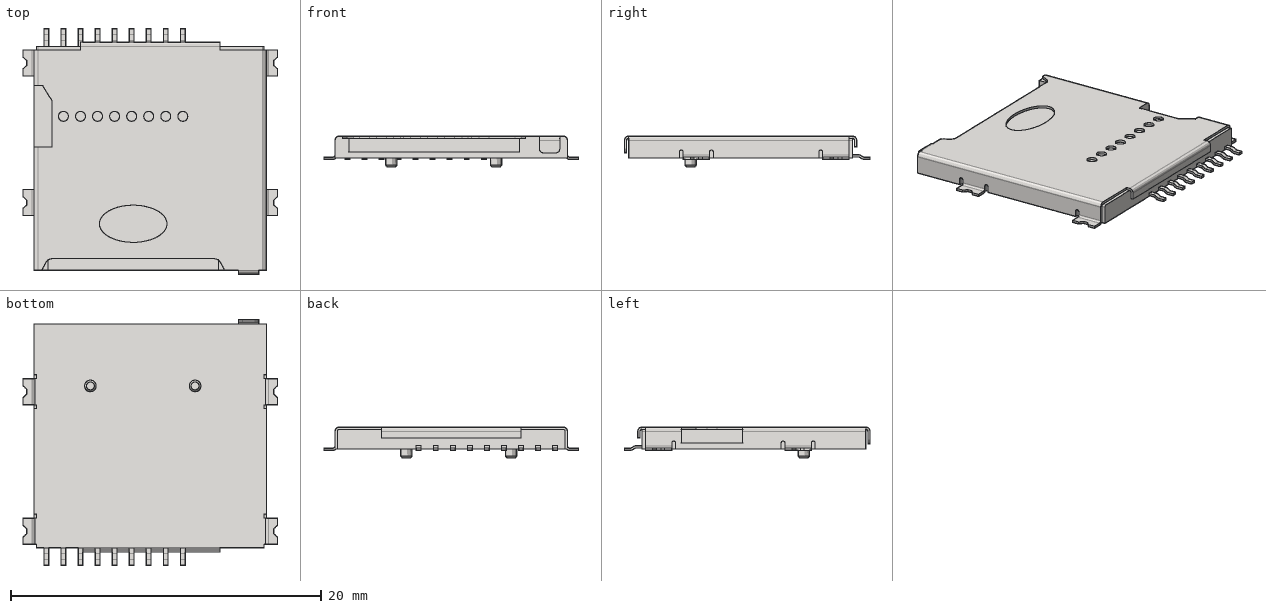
import cadquery as cq
import math


shell_width = 15.0
shell_length = 14.22
shell_top = 1.5
sheet = 0.15
bend_inner = 0.12
bend_outer = bend_inner + sheet
turn = math.sqrt(0.5)

body_bottom = 0.08
body_width = shell_width - 2 * sheet
body_length = 14.45
body_top = shell_top - sheet

slot_floor = 0.46
slot_width = 11.0
slot_center_x = -1.1
slot_left = slot_center_x - slot_width / 2
slot_depth = 13.5

notch_mouth_width = 11.8
notch_back_width = slot_width
notch_depth = 0.75
notch_corner_radius = 0.5

window_front = 7.96
window_back = 11.91
window_chamfer_front = 10.96
window_inner_x = -6.35
window_chamfer_x = -6.95

contact_pitch = 1.1
contact_count = 9
first_contact_x = -6.7
contact_width = 0.32
contact_sheet = 0.15
contact_tip = 15.58
contact_root = 14.0
contact_bend_tip = 15.2
contact_bend_root = 14.82
contact_rise = 0.15
hole_diameter = 0.64
hole_y = 9.93

oval_center_y = 3.0
oval_half_length = 2.18
oval_half_width = 1.2

tab_span = 16.44
tab_width = 1.7
tab_back_y = shell_length - tab_width / 2
tab_pitch = 9.0
tab_notch_mouth = 0.78
tab_notch_bottom = 0.3
tab_notch_depth = 0.25
relief_width = 0.25
relief_top = 0.6

back_tongue_width = 9.0
back_tongue_y = 14.72
back_tongue_bottom = 0.8
front_tongue_left = 5.69
front_tongue_right = 7.0
front_tongue_bottom = 0.42
front_tongue_corner = 0.25

peg_diameter = 0.75
peg_bottom = -0.5
peg_chamfer = 0.12
peg_y = 4.0
peg_xs = (-3.86, 2.89)


def block(x0, x1, y0, y1, z0, z1):
    return cq.Workplane("XY").box(x1 - x0, y1 - y0, z1 - z0, centered=False).translate((x0, y0, z0))


def make_body():
    half = body_width / 2
    body = block(-half, half, 0, body_length, body_bottom, body_top)
    body = body.edges("|Y and >Z").fillet(bend_inner)
    return body.cut(block(slot_left, slot_left + slot_width, 0, slot_depth, slot_floor, body_top))


def make_shell():
    half = shell_width / 2
    outer = block(-half, half, 0, shell_length, body_bottom, shell_top)
    outer = outer.edges("|Y and >Z").fillet(bend_outer)
    inner = block(-half + sheet, half - sheet, 0, shell_length, body_bottom, body_top)
    inner = inner.edges("|Y and >Z").fillet(bend_inner)
    return outer.cut(inner)


def front_notch():
    mouth = notch_mouth_width / 2
    back = notch_back_width / 2
    outline = [(-mouth, 0), (mouth, 0), (back, notch_depth), (-back, notch_depth)]
    notch = cq.Workplane("XY").polyline(outline).close().extrude(sheet)
    notch = notch.edges("|Z and >Y").fillet(notch_corner_radius)
    return notch.translate((slot_center_x, 0, body_top))


def shell_window():
    """Opening through the shell's left wall and roof, with one slanted corner in the roof."""
    outer_x = -shell_width / 2
    outline = [
        (outer_x, window_front),
        (window_inner_x, window_front),
        (window_inner_x, window_chamfer_front),
        (window_chamfer_x, window_back),
        (outer_x, window_back),
    ]
    window = cq.Workplane("XY").polyline(outline).close().extrude(shell_top - slot_floor)
    return window.translate((0, 0, slot_floor))


def body_window():
    """Opening through the left wall of the body into the card slot."""
    return block(-body_width / 2, slot_left, window_front, window_back, slot_floor, body_top)


def contact_holes():
    centers = [(first_contact_x + i * contact_pitch, hole_y) for i in range(1, contact_count)]
    roof_underside = cq.Workplane("XY", origin=(0, 0, body_top))
    return roof_underside.pushPoints(centers).circle(hole_diameter / 2).extrude(sheet)


def oval_opening():
    roof_underside = cq.Workplane("XY", origin=(slot_center_x, oval_center_y, body_top))
    return roof_underside.ellipse(oval_half_length, oval_half_width).extrude(sheet)


def make_tab(center_y):
    """Solder tab on the +X side, bent outwards from the bottom of the shell wall."""
    wall = shell_width / 2
    tip = tab_span / 2
    bend_x = wall + bend_inner
    profile = (
        cq.Workplane("XZ", origin=(0, center_y + tab_width / 2, 0))
        .moveTo(tip, 0)
        .lineTo(bend_x, 0)
        .threePointArc((bend_x - bend_outer * turn, bend_outer * (1 - turn)), (wall - sheet, bend_outer))
        .lineTo(wall, bend_outer)
        .threePointArc((bend_x - bend_inner * turn, bend_outer - bend_inner * turn), (bend_x, sheet))
        .lineTo(tip, sheet)
        .close()
    )
    tab = profile.extrude(tab_width)
    notch_outline = [
        (tip, center_y - tab_notch_mouth / 2),
        (tip - tab_notch_depth, center_y - tab_notch_bottom / 2),
        (tip - tab_notch_depth, center_y + tab_notch_bottom / 2),
        (tip, center_y + tab_notch_mouth / 2),
    ]
    return tab.cut(cq.Workplane("XY").polyline(notch_outline).close().extrude(sheet))


def relief_slot(center_y):
    """Round-topped slot through both side walls of the shell, beside a solder tab."""
    radius = relief_width / 2
    return (
        cq.Workplane("YZ", origin=(-shell_width / 2, 0, 0))
        .moveTo(center_y - radius, 0)
        .lineTo(center_y + radius, 0)
        .lineTo(center_y + radius, relief_top - radius)
        .threePointArc((center_y, relief_top), (center_y - radius, relief_top - radius))
        .close()
        .extrude(shell_width)
    )


def make_tongue(edge_y, reach, width, center_x, bottom):
    """Strip leaving the roof at edge_y and bent down; reach is the signed distance to its outer face."""
    out = math.copysign(1, reach)
    face = edge_y + reach
    bend_y = face - out * bend_outer
    bend_z = shell_top - bend_outer
    return (
        cq.Workplane("YZ", origin=(center_x - width / 2, 0, 0))
        .moveTo(edge_y - out * sheet, shell_top)
        .lineTo(bend_y, shell_top)
        .threePointArc((bend_y + out * bend_outer * turn, bend_z + bend_outer * turn), (face, bend_z))
        .lineTo(face, bottom)
        .lineTo(face - out * sheet, bottom)
        .lineTo(face - out * sheet, bend_z)
        .threePointArc((bend_y + out * bend_inner * turn, bend_z + bend_inner * turn), (bend_y, body_top))
        .lineTo(edge_y - out * sheet, body_top)
        .close()
        .extrude(width)
    )


def make_contact(x):
    """Contact tail: a flat strip stepped down to the seating plane by an S-bend."""
    mid_z = contact_sheet / 2
    inward = (-1, 0)
    path = (
        cq.Workplane("YZ", origin=(x, 0, 0))
        .moveTo(contact_tip, mid_z)
        .lineTo(contact_bend_tip, mid_z)
        .spline([(contact_bend_root, mid_z + contact_rise)], tangents=[inward, inward], includeCurrent=True)
        .lineTo(contact_root, mid_z + contact_rise)
    )
    section = cq.Workplane("XZ", origin=(x, contact_tip, mid_z)).rect(contact_width, contact_sheet)
    return section.sweep(path)


def make_peg(x):
    peg = cq.Workplane("XY", origin=(x, peg_y, peg_bottom)).circle(peg_diameter / 2)
    return peg.extrude(slot_floor - peg_bottom).faces("<Z").chamfer(peg_chamfer)


tab_ys = (tab_back_y, tab_back_y - tab_pitch)
relief_offset = (tab_width + relief_width) / 2

shell = make_shell()
shell = shell.cut(front_notch()).cut(contact_holes()).cut(oval_opening())
for relief_y in (tab_ys[0] - relief_offset, tab_ys[1] - relief_offset, tab_ys[1] + relief_offset):
    shell = shell.cut(relief_slot(relief_y))
for tab_y in tab_ys:
    tab = make_tab(tab_y)
    shell = shell.union(tab).union(tab.mirror("YZ"))

back_tongue = make_tongue(
    shell_length,
    back_tongue_y - shell_length,
    back_tongue_width,
    0,
    back_tongue_bottom,
)
front_tongue = make_tongue(
    0,
    -bend_outer,
    front_tongue_right - front_tongue_left,
    (front_tongue_left + front_tongue_right) / 2,
    front_tongue_bottom,
)
front_tongue = front_tongue.faces("<Z").edges("|Y").fillet(front_tongue_corner)

shell = shell.cut(shell_window())
body = make_body().cut(body_window())
result = body.union(shell)
result = result.union(back_tongue).union(front_tongue)
for i in range(contact_count):
    result = result.union(make_contact(first_contact_x + i * contact_pitch))
for peg_x in peg_xs:
    result = result.union(make_peg(peg_x))